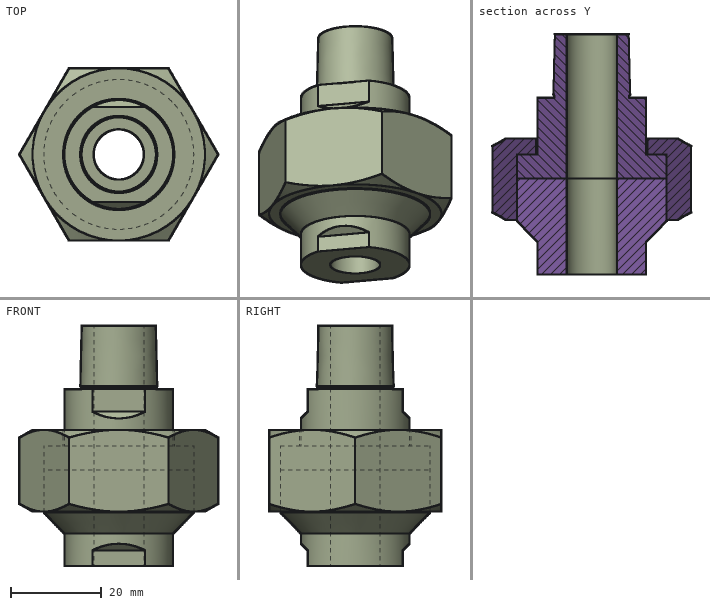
import cadquery as cq
import math


total_height = 53.0
bore_diameter = 11.0
collar_diameter = 24.0
flats_width = 21.0
flat_run_out = (collar_diameter - flats_width) / 2
shoulder_diameter = 33.05

nut_across_flats = 38.0
nut_across_corners = nut_across_flats / math.cos(math.radians(30))
nut_chamfer_angle = 30.0
nut_bottom = 12.05
nut_top = 30.05
nut_lip_thickness = 3.55
nut_lip_bottom = nut_top - nut_lip_thickness
nut_opening_diameter = 24.55

lower_collar_top = 7.15
lower_cone_top = 11.8
lower_flat_height = 3.45
joint_height = 21.2

upper_collar_top = 39.0
upper_flat_bottom = 34.1
neck_diameter = 16.55
neck_top = 39.4
spigot_base = 39.7
spigot_base_diameter = 17.0
spigot_end_diameter = 16.4


def revolve_tube(outer_points):
    """Revolve an outer (radius, z) outline around Z, with the common bore through it."""
    bore_radius = bore_diameter / 2
    bottom = outer_points[0][1]
    top = outer_points[-1][1]
    outline = [(bore_radius, bottom), *outer_points, (bore_radius, top)]
    return cq.Workplane("XZ").polyline(outline).close().revolve(360, (0, 0), (0, 1))


def cut_wrench_flats(body, end_z, flat_z):
    """Cut two opposite flats from end_z to flat_z, each running out at 45 degrees."""
    flat_y = flats_width / 2
    rim_y = collar_diameter / 2
    inward = math.copysign(1, flat_z - end_z)
    for side in (-1, 1):
        outline = [
            (side * flat_y, end_z),
            (side * flat_y, flat_z),
            (side * rim_y, flat_z + inward * flat_run_out),
            (side * rim_y, end_z),
        ]
        cutter = cq.Workplane("YZ").polyline(outline).close().extrude(rim_y, both=True)
        body = body.cut(cutter)
    return body


def make_lower_tail():
    collar_radius = collar_diameter / 2
    shoulder_radius = shoulder_diameter / 2
    body = revolve_tube([
        (collar_radius, 0),
        (collar_radius, lower_collar_top),
        (shoulder_radius, lower_cone_top),
        (shoulder_radius, joint_height),
    ])
    return cut_wrench_flats(body, 0, lower_flat_height)


def make_upper_tail():
    collar_radius = collar_diameter / 2
    shoulder_radius = shoulder_diameter / 2
    neck_radius = neck_diameter / 2
    body = revolve_tube([
        (shoulder_radius, joint_height),
        (shoulder_radius, nut_lip_bottom),
        (collar_radius, nut_lip_bottom),
        (collar_radius, upper_collar_top),
        (neck_radius, upper_collar_top),
        (neck_radius, neck_top),
        (spigot_base_diameter / 2, spigot_base),
        (spigot_end_diameter / 2, total_height),
    ])
    return cut_wrench_flats(body, upper_collar_top, upper_flat_bottom)


def make_nut_chamfer_envelope():
    """Solid of revolution whose conical ends chamfer the hexagon corners."""
    face_radius = nut_across_flats / 2
    corner_radius = nut_across_corners / 2
    chamfer_height = (corner_radius - face_radius) * math.tan(math.radians(nut_chamfer_angle))
    outline = [
        (0, nut_bottom),
        (face_radius, nut_bottom),
        (corner_radius, nut_bottom + chamfer_height),
        (corner_radius, nut_top - chamfer_height),
        (face_radius, nut_top),
        (0, nut_top),
    ]
    return cq.Workplane("XZ").polyline(outline).close().revolve(360, (0, 0), (0, 1))


def make_nut():
    base = cq.Workplane("XY").workplane(offset=nut_bottom)
    hexagon = base.polygon(6, nut_across_corners).extrude(nut_top - nut_bottom)
    socket = base.circle(shoulder_diameter / 2).extrude(nut_lip_bottom - nut_bottom)
    opening = base.circle(nut_opening_diameter / 2).extrude(nut_top - nut_bottom)
    return hexagon.intersect(make_nut_chamfer_envelope()).cut(socket).cut(opening)


lower_tail = make_lower_tail()
upper_tail = make_upper_tail()
union_nut = make_nut()

bodies = [lower_tail, upper_tail, union_nut]
result = cq.Compound.makeCompound([body.solids().val() for body in bodies])